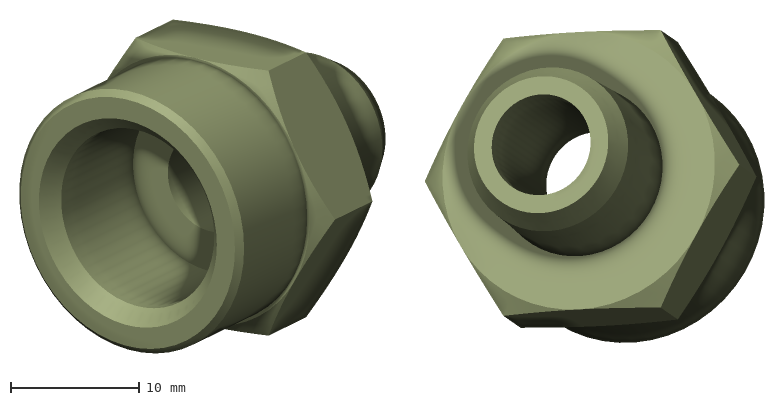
import cadquery as cq
import math

total_length = 27.0
socket_length = 9.0
hex_length = 7.0
hex_start = -total_length / 2 + socket_length
hex_end = hex_start + hex_length
front = -total_length / 2
back = total_length / 2

across_flats = 22.0
across_corners = across_flats / math.cos(math.radians(30))
hex_chamfer_angle = 30.0

socket_radius = 10.75
socket_chamfer = 0.5
bore_radius = 7.32
bore_depth = 11.0
mouth_radius = 8.5
mouth_depth = 1.32

spigot_base_radius = 6.78
spigot_taper = 1 / 32
tip_radius = 5.43
tip_length = 1.95
through_radius = 4.0


def revolve_about_y(profile):
    """Revolve (radius, y) points about the Y axis."""
    return cq.Workplane("XY").polyline(profile).close().revolve(360, (0, 0, 0), (0, 1, 0))


def chamfered_hexagon():
    """Hexagonal collar with its corners turned off by a cone at both ends."""
    prism = (
        cq.Workplane("XZ", origin=(0, hex_end, 0))
        .polygon(6, across_corners)
        .extrude(hex_length)
    )
    flat_radius = across_flats / 2
    corner_radius = across_corners / 2
    corner_drop = (corner_radius - flat_radius) * math.tan(math.radians(hex_chamfer_angle))
    envelope = revolve_about_y([
        (0, hex_start),
        (flat_radius, hex_start),
        (corner_radius, hex_start + corner_drop),
        (corner_radius, hex_end - corner_drop),
        (flat_radius, hex_end),
        (0, hex_end),
    ])
    return prism.intersect(envelope)


def turned_body():
    """Socket cylinder and tapered spigot, joined through the collar."""
    tip_start = back - tip_length
    spigot_end_radius = spigot_base_radius - spigot_taper * (tip_start - hex_end)
    return revolve_about_y([
        (0, front),
        (socket_radius - socket_chamfer, front),
        (socket_radius, front + socket_chamfer),
        (socket_radius, hex_start),
        (spigot_base_radius, hex_end),
        (spigot_end_radius, tip_start),
        (tip_radius, back),
        (0, back),
    ])


def stepped_bore():
    """Conical mouth, flat-bottomed socket bore and through hole."""
    bore_floor = front + bore_depth
    return revolve_about_y([
        (0, front),
        (mouth_radius, front),
        (bore_radius, front + mouth_depth),
        (bore_radius, bore_floor),
        (through_radius, bore_floor),
        (through_radius, back),
        (0, back),
    ])


result = turned_body().union(chamfered_hexagon()).cut(stepped_bore())